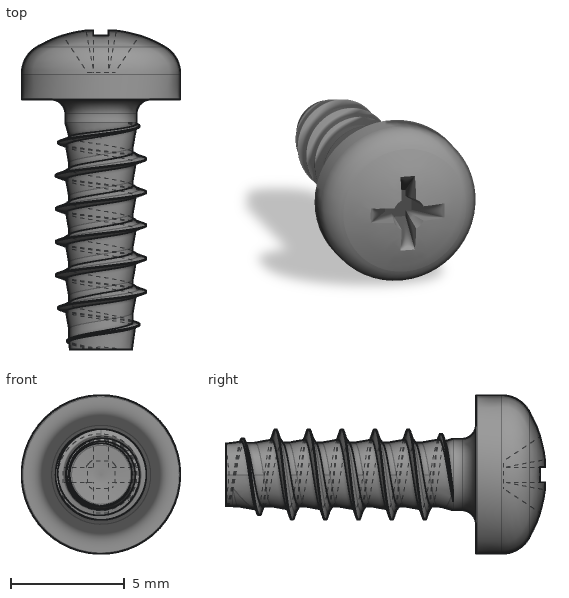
import cadquery as cq
import math


head_radius = 3.5
head_height = 3.1
side_height = 1.13
shoulder_radius = 1.4
dome_tangent_angle = math.radians(60)
underside_edge_radius = 0.06

recess_depth = 1.9
wing_width = 0.66
wing_tip_radius = 1.86
wing_floor_radius = 0.6
core_top_radius = 0.75
core_floor_radius = 0.45

shank_length = 11.0
neck_radius = 1.58
neck_fillet = 0.6
neck_end = -1.0
neck_cone_end = -1.6
root_radius = 1.41
tip_radius = 1.37
tip_cone_slope = 0.14
dimple_radius = 1.3
dimple_depth = 0.13

pitch = 1.46
thread_radius = 2.0
crest_width = 0.04
knee_radius = 1.66
knee_rise = 0.13
upper_flank_rise = 0.29
lower_flank_radius = 1.54
lower_flank_drop = 0.17
embed_depth = 0.12

root_taper_drop = 0.9
root_taper_reach = 1.2
root_taper_slope = (lower_flank_radius - root_radius) / (root_taper_drop - lower_flank_drop)
root_turns_above = 1
root_turns_below = 7

thread_phase = 90
full_thread_top = -2.245
full_thread_turns = 4.5
fade_turns_at_neck = 1.2
fade_turns_at_tip = 1.6
fade_depth_per_turn = 0.4


def revolve_points(points):
    """Solid of revolution about Z from (radius, height) corners."""
    return cq.Workplane("XZ").polyline(points).close().revolve(360, (0, 0, 0), (0, 1, 0))


def make_head_and_neck():
    shoulder_center = head_radius - shoulder_radius
    dome_edge = (
        shoulder_center + shoulder_radius * math.cos(dome_tangent_angle),
        side_height + shoulder_radius * math.sin(dome_tangent_angle),
    )
    shoulder_middle = (
        shoulder_center + shoulder_radius * math.cos(dome_tangent_angle / 2),
        side_height + shoulder_radius * math.sin(dome_tangent_angle / 2),
    )
    dome_middle = dome_point(dome_edge[0] / 2, dome_edge)
    outline = (
        cq.Workplane("XZ")
        .moveTo(0, neck_cone_end)
        .lineTo(root_radius, neck_cone_end)
        .lineTo(neck_radius, neck_end)
        .lineTo(neck_radius, -neck_fillet)
        .radiusArc((neck_radius + neck_fillet, 0), neck_fillet)
        .lineTo(head_radius - underside_edge_radius, 0)
        .radiusArc((head_radius, underside_edge_radius), -underside_edge_radius)
        .lineTo(head_radius, side_height)
        .threePointArc(shoulder_middle, dome_edge)
        .threePointArc(dome_middle, (0, head_height))
        .close()
    )
    return outline.revolve(360, (0, 0, 0), (0, 1, 0))


def dome_point(radius, dome_edge):
    """Point of the spherical dome at a radius, given its edge and the apex."""
    edge_radius, edge_height = dome_edge
    drop = head_height - edge_height
    sphere_radius = (edge_radius**2 + drop**2) / (2 * drop)
    return radius, head_height - sphere_radius + math.sqrt(sphere_radius**2 - radius**2)


def make_recess():
    """Two crossing wings narrowing towards the floor, with a tapered round core."""
    floor = head_height - recess_depth
    wing = (
        cq.Workplane("XZ")
        .polyline([
            (-wing_floor_radius, floor),
            (wing_floor_radius, floor),
            (wing_tip_radius, head_height),
            (-wing_tip_radius, head_height),
        ])
        .close()
        .extrude(wing_width / 2, both=True)
    )
    core = revolve_points([
        (0, floor),
        (core_floor_radius, floor),
        (core_top_radius, head_height),
        (0, head_height),
    ])
    crossing_wing = wing.rotate((0, 0, 0), (0, 0, 1), 90)
    return wing.union(crossing_wing).union(core)


def tooth_section():
    """Tooth outline, both flanks carried on straight until they are inside the root."""
    base_radius = root_radius - embed_depth
    upper_run = (upper_flank_rise - knee_rise) / (knee_radius - root_radius)
    lower_run = (lower_flank_drop - crest_width / 2) / (thread_radius - lower_flank_radius)
    return [
        (base_radius, upper_flank_rise + upper_run * embed_depth),
        (knee_radius, knee_rise),
        (thread_radius, crest_width / 2),
        (thread_radius, -crest_width / 2),
        (base_radius, -lower_flank_drop - lower_run * (lower_flank_radius - base_radius)),
    ]


def root_section():
    """Taper outline, carried on up under the tooth and down into the root cylinder."""
    base_radius = root_radius - embed_depth
    top_radius = lower_flank_radius + root_taper_slope * lower_flank_drop
    bottom_radius = lower_flank_radius - root_taper_slope * (root_taper_reach - lower_flank_drop)
    return [
        (base_radius, 0),
        (top_radius, 0),
        (bottom_radius, -root_taper_reach),
        (base_radius, -root_taper_reach),
    ]


def sweep_up(section, turns, radial_loss_per_turn=0):
    """Sweep a section up a right-hand helix, starting in the +X half plane at Z = 0."""
    if radial_loss_per_turn == 0:
        helix = cq.Wire.makeHelix(pitch, turns * pitch, root_radius)
    else:
        cone_angle = math.atan2(radial_loss_per_turn, pitch)
        slant_pitch = pitch / math.cos(cone_angle)
        helix = cq.Wire.makeHelix(
            slant_pitch, turns * slant_pitch, root_radius, angle=-math.degrees(cone_angle))
    return cq.Workplane("XZ").polyline(section).close().sweep(cq.Workplane(helix), isFrenet=True)


def place(swept, turns_down):
    """Move a sweep along the thread, down from where the full thread tops out."""
    turned = swept.rotate((0, 0, 0), (0, 0, 1), thread_phase - 360 * turns_down)
    return turned.translate((0, 0, full_thread_top - pitch * turns_down))


def make_root():
    """Root cylinder with the helical taper on it, narrowed by a cone at the tip."""
    bar_bottom = -shank_length - pitch
    bar = cq.Workplane("XY").workplane(offset=bar_bottom).circle(root_radius).extrude(shank_length + pitch)
    taper = place(sweep_up(root_section(), root_turns_above + root_turns_below), root_turns_below)
    cone_height = (thread_radius - tip_radius) / tip_cone_slope
    tip_cone = revolve_points([
        (0, -shank_length),
        (tip_radius, -shank_length),
        (thread_radius, -shank_length + cone_height),
        (thread_radius, neck_end),
        (0, neck_end),
    ])
    return bar.union(taper).intersect(tip_cone)


def make_teeth():
    """Full-height tooth, and its two ends that spiral inwards into the root."""
    section = tooth_section()
    upside_down = [(radius, -height) for radius, height in section]
    full = sweep_up(section, full_thread_turns)
    neck_fade = sweep_up(section, fade_turns_at_neck, fade_depth_per_turn)
    tip_fade = sweep_up(upside_down, fade_turns_at_tip, fade_depth_per_turn)
    tip_fade = tip_fade.rotate((0, 0, 0), (1, 0, 0), 180)
    return [
        place(full, full_thread_turns),
        place(neck_fade, 0),
        place(tip_fade, full_thread_turns),
    ]


def make_threaded_shank():
    """Root and teeth together, ended flat at the neck and by a shallow conical dimple at the tip."""
    shank = make_root()
    for tooth in make_teeth():
        shank = shank.union(tooth)
    length_limit = revolve_points([
        (0, -shank_length + dimple_depth),
        (dimple_radius, -shank_length),
        (head_radius, -shank_length),
        (head_radius, neck_end),
        (0, neck_end),
    ])
    return shank.intersect(length_limit)


head_and_neck = make_head_and_neck().cut(make_recess())
screw = head_and_neck.union(make_threaded_shank())
result = screw.rotate((0, 0, 0), (1, 0, 0), -90)